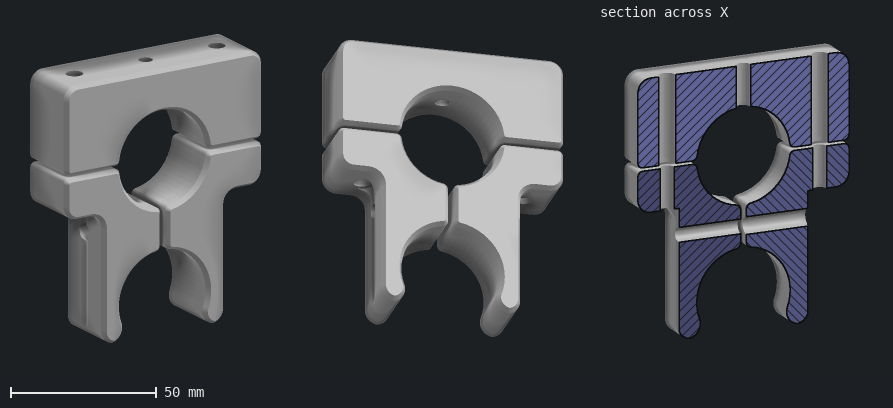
import cadquery as cq
import math

WIDTH = 25.0
LENGTH = 80.0
HEIGHT = 95.9

BLOCK_HEIGHT = 32.1
SPLIT_GAP = 1.1
JAW_GAP = 2.0

BORE_RADIUS = 17.55

FLANGE_THICKNESS = 15.3
ARM_FACE_Y = 24.7
FOOT_TIP_OFFSET = 0.72

LARGE_FILLET = 5.0
SMALL_FILLET = 2.0
CHAMFER_DEPTH = 1.7
CHAMFER_INSET = 1.2

SCREW_Y = 28.9
CLEARANCE_DIAMETER = 6.2
SCREW_DIAMETER = 5.2
HEAD_DIAMETER = 9.0

CORE_WIDTH = WIDTH - 2 * CHAMFER_DEPTH
BLOCK_BOTTOM = HEIGHT - BLOCK_HEIGHT
JAW_TOP = BLOCK_BOTTOM - SPLIT_GAP
FLANGE_BOTTOM = JAW_TOP - FLANGE_THICKNESS
UPPER_BORE_Z = BLOCK_BOTTOM - SPLIT_GAP / 2
FOOT_OUTER_Y = ARM_FACE_Y - LARGE_FILLET
FOOT_TIP_Y = FOOT_OUTER_Y + FOOT_TIP_OFFSET
FOOT_INNER_Y = FOOT_TIP_Y + FOOT_TIP_OFFSET
FOOT_Z = math.sqrt(LARGE_FILLET**2 - FOOT_TIP_OFFSET**2)
LOWER_BORE_Z = FOOT_Z + math.sqrt((BORE_RADIUS + LARGE_FILLET) ** 2 - FOOT_INNER_Y**2)
WAIST_Y = JAW_GAP / 2
BORE_RISE_AT_WAIST = math.sqrt(BORE_RADIUS**2 - WAIST_Y**2)
WAIST_TOP = UPPER_BORE_Z - BORE_RISE_AT_WAIST
WAIST_BOTTOM = LOWER_BORE_Z + BORE_RISE_AT_WAIST
CROSS_HOLE_Z = (UPPER_BORE_Z + LOWER_BORE_Z) / 2
END_Y = LENGTH / 2
SPLIT_BORE_Y = math.sqrt(BORE_RADIUS**2 - (SPLIT_GAP / 2) ** 2)


def fillet_at(body, corners, radius):
    """Round the X-direction edges that pass through the given (y, z) corners."""
    for y, z in corners:
        edge = body.edges(cq.selectors.NearestToPointSelector((0, y, z)))
        body = edge.fillet(radius)
    return body


def add_chamfered_sides(body):
    """Complete the width with a tapered layer on each X face, which forms the edge chamfers."""
    taper = math.degrees(math.atan2(CHAMFER_INSET, CHAMFER_DEPTH))
    for face in (">X", "<X"):
        body = body.faces(face).wires().toPending().workplane().extrude(CHAMFER_DEPTH, taper=taper)
    return body


def vertical_hole(y, bottom, top, diameter):
    return cq.Workplane("XY", origin=(0, y, bottom)).circle(diameter / 2).extrude(top - bottom)


def make_block():
    """Upper block: the top half of the upper bore, with three vertical holes."""
    outline = (
        cq.Workplane("YZ")
        .moveTo(-END_Y, BLOCK_BOTTOM)
        .lineTo(-END_Y, HEIGHT)
        .lineTo(END_Y, HEIGHT)
        .lineTo(END_Y, BLOCK_BOTTOM)
        .lineTo(SPLIT_BORE_Y, BLOCK_BOTTOM)
        .threePointArc((0, UPPER_BORE_Z + BORE_RADIUS), (-SPLIT_BORE_Y, BLOCK_BOTTOM))
        .close()
    )
    body = outline.extrude(CORE_WIDTH / 2, both=True)

    top_corners = [(side * END_Y, HEIGHT) for side in (-1, 1)]
    split_corners = [(side * y, BLOCK_BOTTOM) for side in (-1, 1) for y in (END_Y, SPLIT_BORE_Y)]
    body = fillet_at(body, top_corners, LARGE_FILLET)
    body = fillet_at(body, split_corners, SMALL_FILLET)
    body = add_chamfered_sides(body)

    for y in (-SCREW_Y, SCREW_Y):
        body = body.cut(vertical_hole(y, BLOCK_BOTTOM, HEIGHT, CLEARANCE_DIAMETER))
    return body.cut(vertical_hole(0, UPPER_BORE_Z, HEIGHT, SCREW_DIAMETER))


def jaw_outline(side):
    """Closed jaw profile in the YZ plane; side is -1 or 1 for the -Y or +Y jaw."""
    foot_angle = math.atan2(FOOT_Z - LOWER_BORE_Z, FOOT_INNER_Y)
    foot_start = (
        BORE_RADIUS * math.cos(foot_angle),
        LOWER_BORE_Z + BORE_RADIUS * math.sin(foot_angle),
    )
    foot_diagonal = LARGE_FILLET * math.sqrt(0.5)
    bore_diagonal = BORE_RADIUS * math.sqrt(0.5)

    def at(y, z):
        return (side * y, z)

    return (
        cq.Workplane("YZ")
        .moveTo(*at(WAIST_Y, WAIST_TOP))
        .lineTo(*at(WAIST_Y, WAIST_BOTTOM))
        .threePointArc(at(bore_diagonal, LOWER_BORE_Z + bore_diagonal), at(*foot_start))
        .threePointArc(at(FOOT_INNER_Y - LARGE_FILLET, FOOT_Z), at(FOOT_TIP_Y, 0))
        .threePointArc(
            at(FOOT_OUTER_Y + foot_diagonal, FOOT_Z - foot_diagonal),
            at(ARM_FACE_Y, FOOT_Z),
        )
        .lineTo(*at(ARM_FACE_Y, FLANGE_BOTTOM))
        .lineTo(*at(END_Y, FLANGE_BOTTOM))
        .lineTo(*at(END_Y, JAW_TOP))
        .lineTo(*at(SPLIT_BORE_Y, JAW_TOP))
        .threePointArc(at(bore_diagonal, UPPER_BORE_Z - bore_diagonal), at(WAIST_Y, WAIST_TOP))
        .close()
    )


def make_jaw(side, cross_diameter):
    """Lower jaw with a flange, an arm, and holes for one vertical and one cross screw."""
    body = jaw_outline(side).extrude(CORE_WIDTH / 2, both=True)

    flange_corners = [(side * y, FLANGE_BOTTOM) for y in (ARM_FACE_Y, END_Y)]
    top_corners = [(side * y, JAW_TOP) for y in (SPLIT_BORE_Y, END_Y)]
    waist_corners = [(side * WAIST_Y, z) for z in (WAIST_TOP, WAIST_BOTTOM)]
    body = fillet_at(body, flange_corners, LARGE_FILLET)
    body = fillet_at(body, top_corners + waist_corners, SMALL_FILLET)
    body = add_chamfered_sides(body)

    screw_y = side * SCREW_Y
    body = body.cut(vertical_hole(screw_y, FLANGE_BOTTOM, JAW_TOP, SCREW_DIAMETER))
    body = body.cut(vertical_hole(screw_y, 0, FLANGE_BOTTOM, HEAD_DIAMETER))

    cross_hole = (
        cq.Workplane("XZ", origin=(0, 0, CROSS_HOLE_Z))
        .circle(cross_diameter / 2)
        .extrude(-side * END_Y)
    )
    return body.cut(cross_hole)


block = make_block()

jaws = []
for side, cross_diameter in ((-1, CLEARANCE_DIAMETER), (1, SCREW_DIAMETER)):
    jaws.append(make_jaw(side, cross_diameter).val())

result = cq.Compound.makeCompound([block.val(), *jaws])